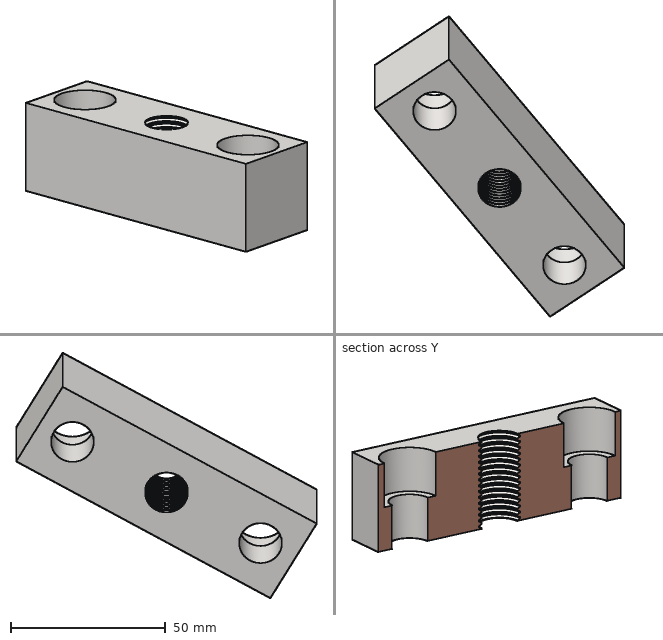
import cadquery as cq
import math

LENGTH = 95.0
WIDTH = 30.0
HEIGHT = 30.0

THREAD_MAJOR_DIAMETER = 16.0
THREAD_PITCH = 2.0
THREAD_FLANK_ANGLE = 30.0
THREAD_TRIANGLE_HEIGHT = THREAD_PITCH / 2 / math.tan(math.radians(THREAD_FLANK_ANGLE))
THREAD_DEPTH = 5 / 8 * THREAD_TRIANGLE_HEIGHT
THREAD_MINOR_DIAMETER = THREAD_MAJOR_DIAMETER - 2 * THREAD_DEPTH
THREAD_ROOT_FLAT = THREAD_PITCH / 8
THREAD_CREST_FLAT = THREAD_PITCH / 4
GROOVE_COUNT = int(HEIGHT / THREAD_PITCH)

BOLT_SPACING = 70.3
BOLT_HOLE_DIAMETER = THREAD_MINOR_DIAMETER
COUNTERBORE_DIAMETER = 20.0
COUNTERBORE_DEPTH = HEIGHT / 2


def make_block():
    """Plain block centred on X and Y, standing on Z = 0."""
    return cq.Workplane("XY").box(LENGTH, WIDTH, HEIGHT, centered=(True, True, False))


def drill_bolt_holes(body):
    """Through holes counterbored from the top face."""
    return (
        body.faces(">Z")
        .workplane()
        .pushPoints([(-BOLT_SPACING / 2, 0), (BOLT_SPACING / 2, 0)])
        .cboreHole(BOLT_HOLE_DIAMETER, COUNTERBORE_DIAMETER, COUNTERBORE_DEPTH)
    )


def make_thread_cutter():
    """Revolved core with one trapezoidal ring per pitch, half a crest flat at each end."""
    major_radius = THREAD_MAJOR_DIAMETER / 2
    minor_radius = THREAD_MINOR_DIAMETER / 2
    half_mouth = (THREAD_PITCH - THREAD_CREST_FLAT) / 2
    half_root = THREAD_ROOT_FLAT / 2
    profile = cq.Workplane("XZ").lineTo(minor_radius, 0)
    for groove in range(GROOVE_COUNT):
        middle = (groove + 0.5) * THREAD_PITCH
        profile = (
            profile.lineTo(minor_radius, middle - half_mouth)
            .lineTo(major_radius, middle - half_root)
            .lineTo(major_radius, middle + half_root)
            .lineTo(minor_radius, middle + half_mouth)
        )
    profile = profile.lineTo(minor_radius, HEIGHT).lineTo(0, HEIGHT).close()
    return profile.revolve(360, (0, 0, 0), (0, 1, 0))


result = drill_bolt_holes(make_block()).cut(make_thread_cutter())